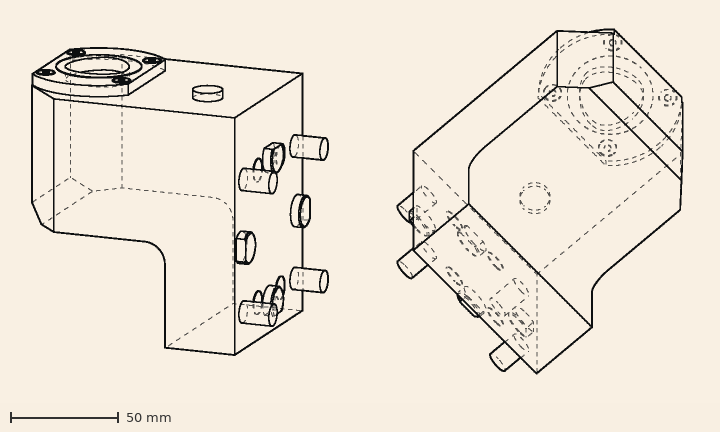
import cadquery as cq
import math


TOTAL_LENGTH = 124.0
TOTAL_HEIGHT = 120.0
WIDTH = 85.0
STUD_LENGTH = 15.0
BODY_LENGTH = TOTAL_LENGTH - STUD_LENGTH
LEG_THICKNESS = 35.0
INNER_RADIUS = 9.9
NOSE_SIDE_CHAMFER = 18.5
NOSE_LOWER_CHAMFER = 7.9

FLANGE_THICKNESS = 5.3
RAISED_STEP = 0.4
BODY_HEIGHT = TOTAL_HEIGHT - FLANGE_THICKNESS - RAISED_STEP
FLANGE_TOP = BODY_HEIGHT + FLANGE_THICKNESS
HEAD_HEIGHT = 64.2
LEG_HEIGHT = BODY_HEIGHT - HEAD_HEIGHT
FLANGE_RADIUS = 33.5
FLANGE_LENGTH = 48.0
FLANGE_X = FLANGE_LENGTH / 2

RING_RADIUS = 20.0
SOCKET_MEAN_RADIUS = 14.9
SOCKET_LOBE = 0.9
SOCKET_DEPTH = 6.1
SOCKET_POINTS = 60

SCREW_SPACING = 38.0
SCREW_HEAD_DIAMETER = 8.5
SCREW_HEAD_CHAMFER = 0.35
SCREW_SOCKET_DIAMETER = 3.1
SCREW_SOCKET_DEPTH = 1.0

PLUG_X = 84.1
PLUG_Y = -13.9
PLUG_DIAMETER = 14.0
PLUG_HEIGHT = 4.0

PATTERN_Z = LEG_HEIGHT
STUD_SPACING = 63.9
STUD_DIAMETER = 10.4
SEAL_SPACING = 28.3
SEAL_DIAMETER = 10.9
SEAL_HEIGHT = 0.4
DOWEL_DISTANCE = 35.0
DOWEL_DIAMETER = 15.1
DOWEL_HEIGHT = 4.7
DOWEL_CHAMFER = 0.6
DOWEL_FLAT = 5.2

OVERLAP = 1.2


def housing():
    """L-shaped block with a chamfered nose and a filleted inner corner."""
    block = (
        cq.Workplane("XZ")
        .moveTo(0, BODY_HEIGHT)
        .lineTo(BODY_LENGTH, BODY_HEIGHT)
        .lineTo(BODY_LENGTH, 0)
        .lineTo(BODY_LENGTH - LEG_THICKNESS, 0)
        .lineTo(BODY_LENGTH - LEG_THICKNESS, LEG_HEIGHT - INNER_RADIUS)
        .radiusArc((BODY_LENGTH - LEG_THICKNESS - INNER_RADIUS, LEG_HEIGHT), -INNER_RADIUS)
        .lineTo(NOSE_LOWER_CHAMFER, LEG_HEIGHT)
        .lineTo(0, LEG_HEIGHT + NOSE_LOWER_CHAMFER)
        .close()
        .extrude(WIDTH / 2, both=True)
    )
    return block.edges("|Z and <X").chamfer(NOSE_SIDE_CHAMFER)


def flange():
    """Round plate with two parallel flats, carrying the raised ring."""
    plate_height = FLANGE_THICKNESS + OVERLAP
    base = cq.Workplane("XY", origin=(FLANGE_X, 0, BODY_HEIGHT - OVERLAP))
    plate = base.circle(FLANGE_RADIUS).extrude(plate_height)
    flats = base.rect(FLANGE_LENGTH, 2 * FLANGE_RADIUS).extrude(plate_height)
    ring = base.circle(RING_RADIUS).extrude(plate_height + RAISED_STEP)
    return plate.intersect(flats).union(ring)


def lobed_point(turn):
    """Point of a constant-width three-lobed curve with one lobe towards +Y; turn runs from 0 to 1."""
    angle = 2 * math.pi * turn
    reach = SOCKET_MEAN_RADIUS - SOCKET_LOBE * math.sin(3 * angle)
    slope = -3 * SOCKET_LOBE * math.cos(3 * angle)
    x = reach * math.cos(angle) - slope * math.sin(angle)
    y = reach * math.sin(angle) + slope * math.cos(angle)
    return x, y


def spindle_socket():
    top = cq.Workplane("XY", origin=(FLANGE_X, 0, TOTAL_HEIGHT))
    points = [lobed_point(i / SOCKET_POINTS) for i in range(SOCKET_POINTS)]
    return top.spline(points, periodic=True).close().extrude(-SOCKET_DEPTH)


def screw_heads():
    """Four low screw heads with chamfered rims."""
    base = cq.Workplane("XY", origin=(FLANGE_X, 0, FLANGE_TOP - OVERLAP))
    places = base.rect(SCREW_SPACING, SCREW_SPACING, forConstruction=True).vertices()
    heads = places.circle(SCREW_HEAD_DIAMETER / 2).extrude(OVERLAP + RAISED_STEP)
    return heads.faces(">Z").edges().chamfer(SCREW_HEAD_CHAMFER)


def screw_sockets():
    top = cq.Workplane("XY", origin=(FLANGE_X, 0, TOTAL_HEIGHT))
    places = top.rect(SCREW_SPACING, SCREW_SPACING, forConstruction=True).vertices()
    return places.circle(SCREW_SOCKET_DIAMETER / 2).extrude(-SCREW_SOCKET_DEPTH)


def plug():
    base = cq.Workplane("XY", origin=(PLUG_X, PLUG_Y, BODY_HEIGHT - OVERLAP))
    return base.circle(PLUG_DIAMETER / 2).extrude(PLUG_HEIGHT + OVERLAP)


def back_discs(spacing_y, diameter, height):
    """Four discs on the back face, on the two stud rows."""
    base = cq.Workplane("YZ", origin=(BODY_LENGTH - OVERLAP, 0, PATTERN_Z))
    places = base.rect(spacing_y, STUD_SPACING, forConstruction=True).vertices()
    return places.circle(diameter / 2).extrude(height + OVERLAP)


def dowel(angle):
    """Chamfered round dowel with a flat facing away from the pattern centre."""
    base = cq.Workplane("YZ", origin=(BODY_LENGTH - OVERLAP, 0, PATTERN_Z))
    length = DOWEL_HEIGHT + OVERLAP
    pin = base.center(DOWEL_DISTANCE, 0).circle(DOWEL_DIAMETER / 2).extrude(length)
    pin = pin.faces(">X").edges().chamfer(DOWEL_CHAMFER)
    beyond_flat = (
        base.center(DOWEL_DISTANCE + DOWEL_FLAT + DOWEL_DIAMETER / 2, 0)
        .rect(DOWEL_DIAMETER, DOWEL_DIAMETER)
        .extrude(length)
    )
    return pin.cut(beyond_flat).rotate((0, 0, PATTERN_Z), (1, 0, PATTERN_Z), angle)


result = housing().union(flange()).union(plug()).union(screw_heads())
result = result.cut(spindle_socket()).cut(screw_sockets())
result = result.union(back_discs(SEAL_SPACING, SEAL_DIAMETER, SEAL_HEIGHT))
result = result.union(back_discs(STUD_SPACING, STUD_DIAMETER, STUD_LENGTH))
for dowel_angle in (0, 90, 180, 270):
    result = result.union(dowel(dowel_angle))